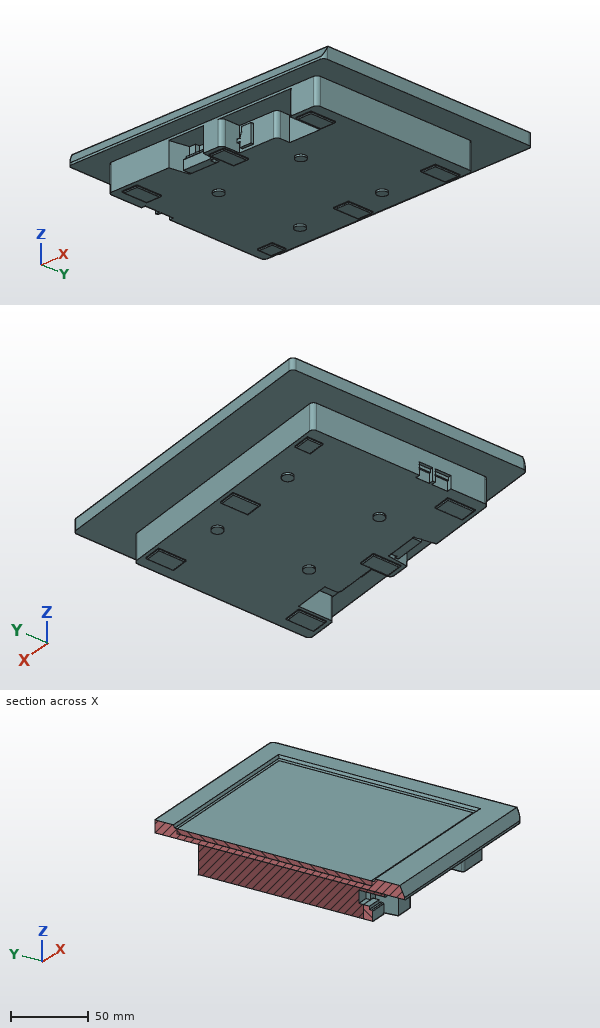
import cadquery as cq
import math


bezel_width = 234.2
bezel_height = 191.8
bezel_thickness = 9.5
bezel_corner_radius = 3.3
bevel_setback = 3.7
bevel_drop = 7.7

window_width = 205.2
window_height = 154.8
window_center_y = 4.2
window_depth = 2.0
window_wall_inset = 1.0
screen_width = 197.2
screen_height = 149.0
screen_thickness = 3.5

housing_width = 191.1
housing_front_y = -80.5
housing_rear_y = 62.8
housing_depth = 21.5
housing_corner_radius = 3.3
flange_thickness = 1.9
housing_height = housing_rear_y - housing_front_y
housing_center_y = (housing_front_y + housing_rear_y) / 2
recess_height = housing_depth - flange_thickness

port_left = -40.0
port_right = -8.5
port_back_left = -37.2
port_back_right = -10.3
port_depth = 16.5
bay_left = -31.9
bay_right = -16.2
bay_depth = 3.5
bay_bottom_z = -11.0

connector_left = -36.0
connector_right = -13.0
lip_right = -11.2
connector_top_z = bay_bottom_z
connector_depth = 4.7
lip_top_z = -13.4
lip_depth = 2.3
lip_chamfer = 0.7

terminal_left = 8.5
terminal_right = 70.5
terminal_step_x = 42.6
terminal_depth = 16.5
terminal_deep_depth = 28.0
terminal_right_radius = 1.6

latch_left = 12.5
latch_right = 21.3
latch_top_z = -4.7
latch_bottom_z = -19.5
latch_slope_z = -8.5
latch_neck_left = 11.0
latch_hook_left = terminal_left
latch_hook_top_z = -12.5
latch_hook_bottom_z = -15.0
latch_thickness = 2.3

socket_top_z = bay_bottom_z
socket_sill_z = -13.5
socket_spans = [(-35.1, -24.4), (-50.0, -37.2)]
socket_upper_depth = 2.3
socket_lower_depth = 3.5

foot_height = 1.5
pad_width = 13.5
pad_length = 22.5
short_pad_length = 12.6
pad_chamfer = 0.7
pad_columns = [-79.6, 0.0, 79.6]
front_pad_center_y = -65.5
rear_pad_edge_y = 60.0
stud_diameter = 8.5
stud_columns = [-42.9, 32.3]
stud_rows = [-31.9, 42.9]


def box(x_range, y_range, z_range):
    """Box between the given limits along each axis."""
    return (
        cq.Workplane("XY")
        .box(
            x_range[1] - x_range[0],
            y_range[1] - y_range[0],
            z_range[1] - z_range[0],
            centered=False,
        )
        .translate((x_range[0], y_range[0], z_range[0]))
    )


def make_bezel():
    """Frame with a sloping lower edge and a sunken window that holds the screen."""
    bezel = (
        cq.Workplane("XY")
        .rect(bezel_width, bezel_height)
        .extrude(bezel_thickness)
        .edges("|Z")
        .fillet(bezel_corner_radius)
    )
    lower_y = -bezel_height / 2
    bevel = (
        cq.Workplane("YZ")
        .moveTo(lower_y, bezel_thickness - bevel_drop)
        .lineTo(lower_y, bezel_thickness)
        .lineTo(lower_y + bevel_setback, bezel_thickness)
        .close()
        .extrude(bezel_width / 2, both=True)
    )
    window = (
        cq.Workplane("XY", origin=(0, window_center_y, bezel_thickness))
        .rect(window_width, window_height)
        .workplane(offset=-window_depth)
        .rect(window_width - 2 * window_wall_inset, window_height - 2 * window_wall_inset)
        .loft(ruled=True)
    )
    return bezel.cut(bevel).cut(window).cut(make_screen())


def make_screen():
    """Screen plate, flush with the floor of the window."""
    return (
        cq.Workplane("XY", origin=(0, window_center_y, bezel_thickness - window_depth))
        .rect(screen_width, screen_height)
        .extrude(-screen_thickness)
    )


def cut_port_recess(housing):
    """Recess with sloping side walls, open at the front and at the bottom."""
    back_y = housing_front_y + port_depth
    recess = (
        cq.Workplane("XY", origin=(0, 0, -housing_depth))
        .moveTo(port_left, housing_front_y)
        .lineTo(port_right, housing_front_y)
        .lineTo(port_back_right, back_y)
        .lineTo(port_back_left, back_y)
        .close()
        .extrude(recess_height)
    )
    bay = box((bay_left, bay_right), (back_y, back_y + bay_depth), (bay_bottom_z, -flange_thickness))
    return housing.cut(recess).cut(bay)


def cut_terminal_recess(housing):
    """Recess of two depths, open at the front and at the bottom, with rounded outer corners."""
    back_y = housing_front_y + terminal_depth
    deep_y = housing_front_y + terminal_deep_depth
    left_radius = housing_corner_radius
    left_inset = left_radius * (1 - math.sqrt(0.5))
    right_inset = terminal_right_radius * (1 - math.sqrt(0.5))
    recess = (
        cq.Workplane("XY", origin=(0, 0, -housing_depth))
        .moveTo(terminal_left - left_radius, housing_front_y)
        .threePointArc(
            (terminal_left - left_inset, housing_front_y + left_inset),
            (terminal_left, housing_front_y + left_radius),
        )
        .lineTo(terminal_left, back_y)
        .lineTo(terminal_step_x - left_radius, back_y)
        .threePointArc(
            (terminal_step_x - left_inset, back_y + left_inset),
            (terminal_step_x, back_y + left_radius),
        )
        .lineTo(terminal_step_x, deep_y)
        .lineTo(terminal_right, deep_y)
        .lineTo(terminal_right, housing_front_y + terminal_right_radius)
        .threePointArc(
            (terminal_right + right_inset, housing_front_y + right_inset),
            (terminal_right + terminal_right_radius, housing_front_y),
        )
        .close()
        .extrude(recess_height)
    )
    return housing.cut(recess)


def cut_sockets(housing):
    """Two openings in the left wall, deeper below their sill than above it."""
    left_x = -housing_width / 2
    for span in socket_spans:
        upper = box((left_x, left_x + socket_upper_depth), span, (socket_sill_z, socket_top_z))
        lower = box((left_x, left_x + socket_lower_depth), span, (-housing_depth, socket_sill_z))
        housing = housing.cut(upper).cut(lower)
    return housing


def make_pad(x, y, length):
    """Pad under the bottom face, chamfered all round its lower end."""
    return (
        cq.Workplane("XY", origin=(x, y, -housing_depth))
        .rect(pad_width, length)
        .extrude(-foot_height)
        .faces("<Z")
        .chamfer(pad_chamfer)
    )


def add_feet(housing):
    """Two rows of pads, the rear left one short, and round studs between the rows."""
    for x in pad_columns:
        rear_length = short_pad_length if x == pad_columns[0] else pad_length
        housing = housing.union(make_pad(x, front_pad_center_y, pad_length))
        housing = housing.union(make_pad(x, rear_pad_edge_y - rear_length / 2, rear_length))
    studs = (
        cq.Workplane("XY", origin=(0, 0, -housing_depth))
        .pushPoints([(x, y) for x in stud_columns for y in stud_rows])
        .circle(stud_diameter / 2)
        .extrude(-foot_height)
    )
    return housing.union(studs)


def make_housing():
    """Rear housing with its recesses, openings and feet."""
    housing = (
        cq.Workplane("XY")
        .center(0, housing_center_y)
        .rect(housing_width, housing_height)
        .extrude(-housing_depth)
        .edges("|Z")
        .fillet(housing_corner_radius)
    )
    housing = cut_port_recess(housing)
    housing = cut_terminal_recess(housing)
    housing = cut_sockets(housing)
    return add_feet(housing)


def make_connector():
    """Connector block with a wider, chamfered lip along its lower front."""
    back_y = housing_front_y + port_depth
    face_y = back_y - connector_depth
    block = box((connector_left, connector_right), (face_y, back_y), (-housing_depth, connector_top_z))
    lip = box((connector_left, lip_right), (face_y - lip_depth, face_y), (-housing_depth, lip_top_z))
    lip = lip.edges("<Y and >Z").chamfer(lip_chamfer)
    return block.union(lip)


def make_latch():
    """Flat latch with a hook on its left side."""
    back_y = housing_front_y + terminal_depth
    return (
        cq.Workplane("XZ", origin=(0, back_y, 0))
        .moveTo(latch_left, latch_top_z)
        .lineTo(latch_right, latch_top_z)
        .lineTo(latch_right, latch_bottom_z)
        .lineTo(latch_neck_left, latch_bottom_z)
        .lineTo(latch_neck_left, latch_hook_bottom_z)
        .lineTo(latch_hook_left, latch_hook_bottom_z)
        .lineTo(latch_hook_left, latch_hook_top_z)
        .lineTo(latch_neck_left, latch_hook_top_z)
        .lineTo(latch_left, latch_slope_z)
        .close()
        .extrude(latch_thickness)
    )


bezel = make_bezel()
screen = make_screen()
housing = make_housing()
connector = make_connector()
latch = make_latch()

result = cq.Compound.makeCompound(
    [bezel.val(), screen.val(), housing.val(), connector.val(), latch.val()]
)